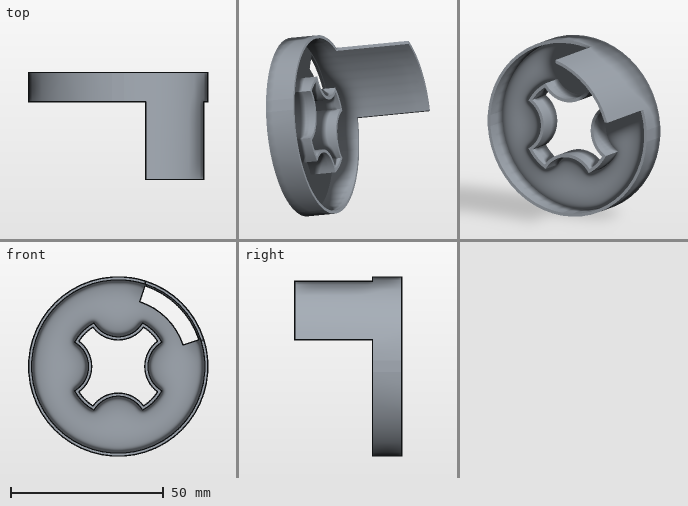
import cadquery as cq
import math

outer_radius = 29.36
rim_wall = 1.0
flat_half_angle = 3.75
rim_depth = 9.65
plate_thickness = 1.0
total_depth = 35.05

socket_wall = 1.05
socket_depth = rim_depth
socket_radius = 16.35
lobe_radius = 9.2
lobe_offset = 18.9

slot_inner_radius = 22.36
slot_outer_radius = 27.8
slot_middle_angle = 45.0
slot_span = 53.2

tongue_edge_x = 8.93
tongue_edge_z = 8.73

rim_inner_radius = outer_radius - rim_wall


def disc(radius, depth, x=0.0, z=0.0):
    """Solid disc reaching forward (-Y) from the back face."""
    return cq.Workplane("XZ").center(x, z).circle(radius).extrude(depth)


def flatted_disc(radius, depth):
    """Disc with a narrow flat at each end of its X and Z diameters."""
    across_flats = 2 * radius * math.cos(math.radians(flat_half_angle))
    square = cq.Workplane("XZ").rect(across_flats, across_flats).extrude(depth)
    return disc(radius, depth).intersect(square)


def make_wall(depth):
    return flatted_disc(outer_radius, depth).cut(flatted_disc(rim_inner_radius, depth))


def make_socket_prism(inset, depth):
    """Disc scalloped by four lobes, with its outline moved inward by the inset."""
    prism = disc(socket_radius - inset, depth)
    for quarter in range(4):
        angle = math.radians(90 * quarter)
        lobe_x = lobe_offset * math.cos(angle)
        lobe_z = lobe_offset * math.sin(angle)
        prism = prism.cut(disc(lobe_radius + inset, depth, lobe_x, lobe_z))
    return prism


def make_slot():
    def polar(radius, angle):
        turn = math.radians(angle)
        return (radius * math.cos(turn), radius * math.sin(turn))

    start = slot_middle_angle - slot_span / 2
    end = slot_middle_angle + slot_span / 2
    return (
        cq.Workplane("XZ")
        .moveTo(*polar(slot_inner_radius, start))
        .lineTo(*polar(slot_outer_radius, start))
        .threePointArc(polar(slot_outer_radius, slot_middle_angle), polar(slot_outer_radius, end))
        .lineTo(*polar(slot_inner_radius, end))
        .threePointArc(polar(slot_inner_radius, slot_middle_angle), polar(slot_inner_radius, start))
        .close()
        .extrude(plate_thickness)
    )


def make_tongue():
    """Forward run of the rim wall, kept only beyond the two tongue edges."""
    corner = (
        cq.Workplane("XZ")
        .center(tongue_edge_x, tongue_edge_z)
        .rect(outer_radius, outer_radius, centered=False)
        .extrude(total_depth)
    )
    return make_wall(total_depth).intersect(corner)


plate = flatted_disc(outer_radius, plate_thickness).cut(make_slot())
rim = make_wall(rim_depth)
socket = make_socket_prism(0, socket_depth)
opening = make_socket_prism(socket_wall, socket_depth)

result = plate.union(rim).union(make_tongue()).union(socket).cut(opening)